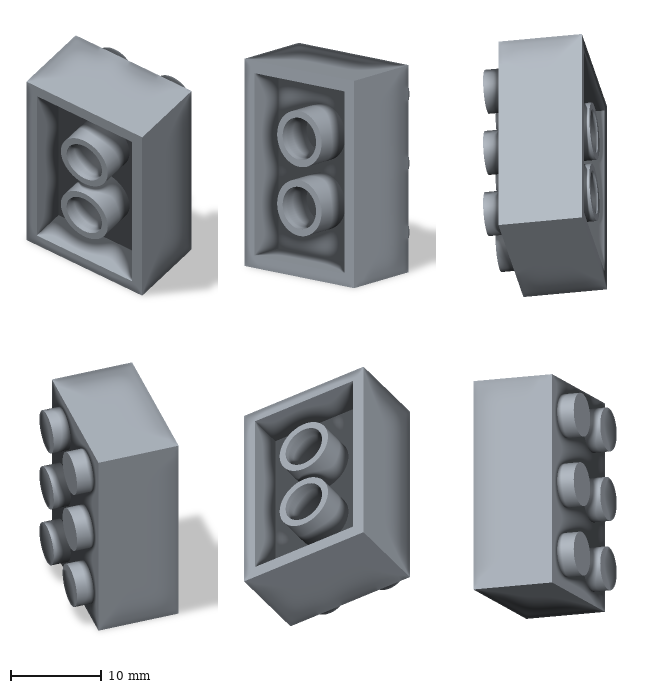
import cadquery as cq

width = 15.8
height = 23.7
total_depth = 11.4
stud_height = 2.0
body_depth = total_depth - stud_height
wall = 1.42

columns = 2
rows = 3
pitch = height / rows
stud_diameter = 4.9
tube_outer_diameter = 6.4
tube_inner_diameter = 4.8
cavity_depth = 4.15


def grid_points(column_count, row_count):
    """Centres of a grid with the stud pitch, centred on the brick."""
    return [
        ((column - (column_count - 1) / 2) * pitch, (row - (row_count - 1) / 2) * pitch)
        for column in range(column_count)
        for row in range(row_count)
    ]


def face_plane(y):
    """Sketch plane at depth y, with X right, Z up and extrusion toward -Y."""
    return cq.Workplane("XZ", origin=(0, y, 0))


body = face_plane(body_depth).rect(width, height).extrude(body_depth)
cavity = face_plane(cavity_depth).rect(width - 2 * wall, height - 2 * wall).extrude(cavity_depth)

studs = face_plane(total_depth).pushPoints(grid_points(columns, rows)).circle(stud_diameter / 2)
studs = studs.extrude(stud_height)

tubes = (
    face_plane(cavity_depth)
    .pushPoints(grid_points(columns - 1, rows - 1))
    .circle(tube_outer_diameter / 2)
    .extrude(cavity_depth)
)
bores = (
    face_plane(cavity_depth)
    .pushPoints(grid_points(columns - 1, rows - 1))
    .circle(tube_inner_diameter / 2)
    .extrude(cavity_depth)
)

result = body.cut(cavity).union(studs).union(tubes.cut(bores))